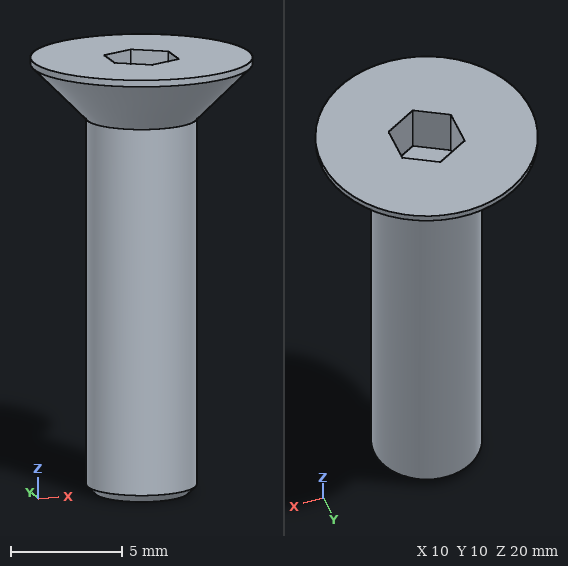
import cadquery as cq

total_length = 20.0
head_diameter = 10.0
shank_diameter = 5.0

rim_height = 0.3
head_radius = head_diameter / 2
shank_radius = shank_diameter / 2
cone_height = head_radius - shank_radius
head_bottom = total_length - rim_height - cone_height

tip_chamfer = 0.38

socket_across_flats = 3.0
socket_depth = 2.3


def make_body():
    """Revolve the half profile of the head and shank about Z."""
    return (
        cq.Workplane("XZ")
        .moveTo(0, 0)
        .lineTo(shank_radius - tip_chamfer, 0)
        .lineTo(shank_radius, tip_chamfer)
        .lineTo(shank_radius, head_bottom)
        .lineTo(head_radius, total_length - rim_height)
        .lineTo(head_radius, total_length)
        .lineTo(0, total_length)
        .close()
        .revolve(360, (0, 0), (0, 1))
    )


def make_socket():
    """Flat-bottomed hexagonal prism sunk from the top face."""
    return (
        cq.Workplane("XY", origin=(0, 0, total_length))
        .polygon(6, socket_across_flats, circumscribed=True)
        .extrude(-socket_depth)
    )


result = make_body().cut(make_socket())